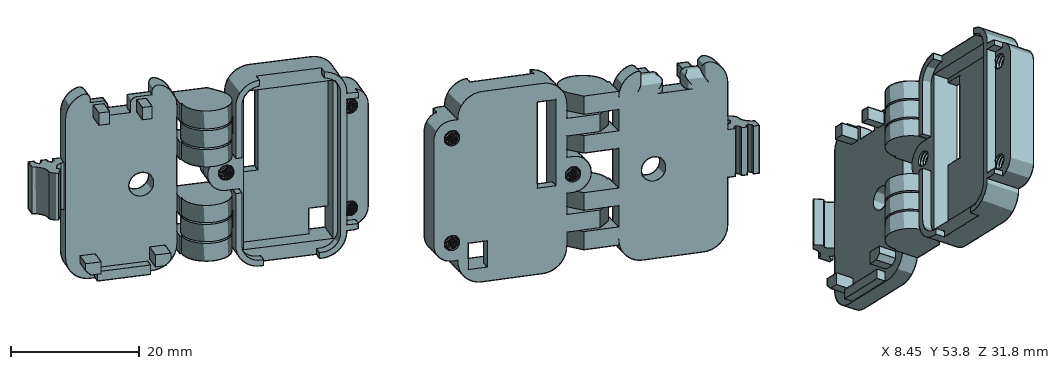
import cadquery as cq
import math

hinge_radius = 4.0
hinge_x = 4.45
hinge_gap = 0.3
hinge_half_span = 12.85
pin_base_radius = 1.85
pin_tip_radius = 0.5
pin_length = 1.6
base_knuckle = (6.55, 9.5)
cover_knuckles = (
    (3.3, base_knuckle[0] - hinge_gap),
    (base_knuckle[1] + hinge_gap, hinge_half_span),
)
base_relief_angle = 45.0
cover_relief_angle = 40.0

plate_height = 31.8
plate_width = 18.0
plate_corner = 4.0
plate_near = hinge_radius + hinge_gap
plate_far = plate_near + plate_width
plate_mid = (plate_near + plate_far) / 2
half_height = plate_height / 2

base_thickness = hinge_x
ear_radius = 3.0
screw_diameter = 2.5
thread_diameter = 3.0
thread_pitch = 0.5
thread_start = 0.6
far_ear_y = 23.25
far_ear_z = 8.75
near_ear_y = 3.25
ear_skin = 0.4
ear_bevel = 1.5
pocket_wall = 1.75
pocket_floor = 1.75
pocket_near = plate_near + pocket_wall
pocket_far = plate_far - pocket_wall
pocket_half_height = 13.53
long_slot = (pocket_near, 9.15, -1.5, 12.88)
short_slot = (17.42, pocket_far, -pocket_half_height, -9.16)
rim_height = 1.6
rim_wall = 1.0
rim_gap_top = (8.13, 18.65)
rim_gap_bottom = (8.8, 17.85)
rim_ear_end = 24.18

cover_thickness = 2.85
cover_hole_diameter = 4.0
cover_hole_y = -10.05
cover_hole_z = -0.9
post_end_x = 5.95
bar_end_x = 4.35
top_posts = ((-17.85, -16.1), (-10.8, -9.24))
top_post_z = (11.6, 13.7)
bottom_posts = ((-20.0, -17.5), (-8.7, -6.2))
bottom_post_z = (-13.85, -11.8)
bottom_post_chamfer = 0.85
bar = (-17.6, -9.0, -15.8, -14.18)

notch_mid_y = -plate_mid
notch_half_width = plate_width / 2 - plate_corner
notch_edge_round = 1.0
ledge_z = 14.17
ledge_round = 2.05
throat = (-15.45, -11.8)
throat_z = 11.6

latch_half_width = 4.0
latch_neck = (1.88, -22.75)
latch_neck_bend = (2.5, -23.55)
latch_hook_root = (3.5, -24.0)
latch_hook_corner = (4.05, -23.5)
latch_hook_tip = (5.4, -24.2)
latch_nose_bend = (5.1, -24.95)
latch_nose = (4.5, -25.5)
latch_back = (3.9, -25.55)
latch_back_bend = (2.7, -26.2)
latch_end = (2.1, -27.52)
latch_groove_count = 2
latch_groove_start = -23.55
latch_groove_pitch = 2.0
latch_groove_width = 1.0
latch_groove_flat = 0.6
latch_groove_depth = 1.1


def block(x0, x1, y0, y1, z0, z1):
    return cq.Workplane("XY").box(x1 - x0, y1 - y0, z1 - z0, centered=False).translate((x0, y0, z0))


def rod_x(y, z, diameter, x0, x1):
    return cq.Workplane("YZ", origin=(x0, y, z)).circle(diameter / 2).extrude(x1 - x0)


def rounded_plate(y0, y1, height, corner, x0, x1):
    return (
        block(x0, x1, y0, y1, -height / 2, height / 2)
        .edges("|X")
        .fillet(corner)
    )


def knuckle(z0, z1, side, relief_angle):
    """Hinge barrel with an arm to the plate on the given side (+1 is +Y)."""
    angle = math.radians(relief_angle)
    foot_y = hinge_radius / math.cos(angle) - hinge_x * math.tan(angle)
    tangent_x = hinge_x - hinge_radius * math.sin(angle)
    tangent_y = hinge_radius * math.cos(angle)
    arm = (
        cq.Workplane("XY", origin=(0, 0, z0))
        .polyline([
            (0, side * plate_near),
            (0, -side * foot_y),
            (tangent_x, -side * tangent_y),
            (hinge_x, 0),
            (hinge_x, side * plate_near),
        ])
        .close()
        .extrude(z1 - z0)
    )
    barrel = cq.Workplane("XY", origin=(hinge_x, 0, z0)).circle(hinge_radius).extrude(z1 - z0)
    return arm.union(barrel)


def hinge_cone(z, direction, clearance):
    """Conical pivot starting at height z; the clearance widens and lengthens it."""
    cone = cq.Solid.makeCone(
        pin_base_radius + clearance,
        pin_tip_radius + clearance,
        pin_length + clearance,
        pnt=cq.Vector(hinge_x, 0, z),
        dir=cq.Vector(0, 0, direction),
    )
    return cq.Workplane(obj=cone)


def hinge_cones(clearance):
    """Pivots on both end faces of each base knuckle."""
    cones = cq.Workplane()
    for side in (-1, 1):
        for face_z, direction in ((base_knuckle[0], -1), (base_knuckle[1], 1)):
            cones = cones.add(hinge_cone(side * face_z, side * direction, clearance))
    return cones


def mirrored_span(span, side):
    return sorted(side * z for z in span)


def screw_hole(y, z):
    """Through hole whose bore carries ring-shaped thread grooves."""
    hole = rod_x(y, z, screw_diameter, 0, base_thickness)
    minor = screw_diameter / 2
    major = thread_diameter / 2
    turns = int((base_thickness - thread_start) / thread_pitch)
    for turn in range(turns):
        x0 = thread_start + turn * thread_pitch
        ring = (
            cq.Workplane("XY")
            .polyline([
                (x0, 0),
                (x0, minor),
                (x0 + thread_pitch / 2, major),
                (x0 + thread_pitch, minor),
                (x0 + thread_pitch, 0),
            ])
            .close()
            .revolve(360, (0, 0), (1, 0))
            .translate((0, y, z))
        )
        hole = hole.union(ring)
    return hole


def rim():
    """Wall along the plate edge that frames the circuit board."""
    x0 = base_thickness
    x1 = base_thickness + rim_height
    wall = rounded_plate(plate_near, plate_far, plate_height, plate_corner, x0, x1)
    inside = rounded_plate(
        plate_near + rim_wall, plate_far - rim_wall,
        plate_height - 2 * rim_wall, plate_corner - rim_wall, x0, x1,
    )
    wall = wall.cut(inside)
    wall = wall.cut(block(x0, x1, *rim_gap_top, 0, half_height))
    wall = wall.cut(block(x0, x1, *rim_gap_bottom, -half_height, 0))
    wall = wall.cut(block(x0, x1, plate_near, plate_mid, -ear_radius, ear_radius))
    ear_inside_z = far_ear_z + ear_radius - rim_wall
    ears = far_ears(x0, x1)
    ears = ears.cut(block(x0, x1, plate_far, rim_ear_end, -ear_inside_z, ear_inside_z))
    ears = ears.intersect(block(x0, x1, plate_far - rim_wall, rim_ear_end, -half_height, half_height))
    return wall.union(ears)


def far_ears(x0, x1):
    """Flange beyond the far edge, rounded around its two screw holes."""
    y1 = far_ear_y + ear_radius
    flange_height = 2 * (far_ear_z + ear_radius)
    flange = rounded_plate(plate_far - plate_corner, y1, flange_height, ear_radius, x0, x1)
    return flange.intersect(block(x0, x1, plate_far - rim_wall, y1, -half_height, half_height))


def near_ear_bevel():
    """Bevel across the tip of the near ear, behind its front skin."""
    tip_y = near_ear_y - ear_radius
    return (
        cq.Workplane("XY", origin=(0, 0, -ear_radius))
        .polyline([
            (ear_skin, tip_y),
            (ear_skin, tip_y + ear_bevel),
            (ear_skin + ear_bevel, tip_y),
        ])
        .close()
        .extrude(2 * ear_radius)
    )


def make_base():
    body = rounded_plate(plate_near, plate_far, plate_height, plate_corner, 0, base_thickness)
    body = body.union(far_ears(0, base_thickness))
    body = body.union(rod_x(near_ear_y, 0, 2 * ear_radius, 0, base_thickness))
    body = body.union(block(0, base_thickness, near_ear_y, plate_near, -ear_radius, ear_radius))
    body = body.cut(near_ear_bevel())
    for side in (-1, 1):
        body = body.union(knuckle(*mirrored_span(base_knuckle, side), 1, base_relief_angle))
    for cone in hinge_cones(0).vals():
        body = body.union(cq.Workplane(obj=cone))
    pocket = block(
        pocket_floor, base_thickness, pocket_near, pocket_far, -pocket_half_height, pocket_half_height,
    )
    body = body.cut(pocket)
    body = body.union(rim())
    for slot in (long_slot, short_slot):
        body = body.cut(block(0, pocket_floor, *slot))
    for y, z in ((far_ear_y, far_ear_z), (far_ear_y, -far_ear_z), (near_ear_y, 0)):
        body = body.cut(screw_hole(y, z))
    return body


def round_toward(step, open_side, front_round=0):
    """Round the notch step edges facing the open side (+1 is +Y), and its front top edge on request."""
    open_face = ">Y" if open_side > 0 else "<Y"
    top = step.edges("|X").edges(open_face).edges(">Z").fillet(notch_edge_round)
    upright = step.edges("|Z").edges("<X").edges(open_face).fillet(notch_edge_round)
    rounded = top.intersect(upright)
    if front_round:
        rounded = rounded.intersect(step.edges("<X and >Z").fillet(front_round))
    return rounded


def cut_notch(plate):
    """Open the top edge for the cable, with a rounded wall and ledge on both sides of the throat."""
    y0 = notch_mid_y - notch_half_width
    y1 = notch_mid_y + notch_half_width
    walls = (
        (plate.intersect(block(0, cover_thickness, -plate_far, y0, throat_z, half_height)), 1),
        (plate.intersect(block(0, cover_thickness, y1, -plate_near, throat_z, half_height)), -1),
    )
    ledges = (
        (block(0, cover_thickness, y0 - notch_edge_round, throat[0], throat_z, ledge_z), 1),
        (block(0, cover_thickness, throat[1], y1 + notch_edge_round, throat_z, ledge_z), -1),
    )
    opening = block(0, cover_thickness, -plate_far, -plate_near, throat_z, half_height)
    notched = plate.cut(opening)
    for wall, open_side in walls:
        notched = notched.union(round_toward(wall, open_side))
    for ledge, open_side in ledges:
        notched = notched.union(round_toward(ledge, open_side, ledge_round))
    return notched


def locating_posts():
    """Board locating posts on the inner face: two at the notch, two chamfered ones and a bar at the bottom."""
    x0 = cover_thickness
    posts = block(x0, bar_end_x, *bar)
    for span in top_posts:
        posts = posts.union(block(x0, post_end_x, *span, *top_post_z))
    for (y0, y1), outer_face in zip(bottom_posts, ("<Y", ">Y")):
        post = block(x0, post_end_x, y0, y1, *bottom_post_z)
        posts = posts.union(post.edges(f"|X and <Z and {outer_face}").chamfer(bottom_post_chamfer))
    return posts


def latch():
    """Flexible tab with a hook on the inner side and two grip grooves on the outer face."""
    tab = (
        cq.Workplane("XY", origin=(0, 0, -latch_half_width))
        .moveTo(0, -plate_far)
        .lineTo(latch_neck[0], -plate_far)
        .lineTo(*latch_neck)
        .threePointArc(latch_neck_bend, latch_hook_root)
        .lineTo(*latch_hook_corner)
        .lineTo(*latch_hook_tip)
        .threePointArc(latch_nose_bend, latch_nose)
        .lineTo(*latch_back)
        .threePointArc(latch_back_bend, latch_end)
        .lineTo(0, latch_end[1])
        .close()
        .extrude(2 * latch_half_width)
    )
    for index in range(latch_groove_count):
        y0 = latch_groove_start - index * latch_groove_pitch
        y1 = y0 - latch_groove_width
        groove = (
            cq.Workplane("XY", origin=(0, 0, -latch_half_width))
            .polyline([
                (0, y0),
                (latch_groove_flat, y0),
                (latch_groove_depth, (y0 + y1) / 2),
                (latch_groove_flat, y1),
                (0, y1),
            ])
            .close()
            .extrude(2 * latch_half_width)
        )
        tab = tab.cut(groove)
    return tab


def make_cover():
    body = rounded_plate(-plate_far, -plate_near, plate_height, plate_corner, 0, cover_thickness)
    body = cut_notch(body)
    body = body.union(locating_posts())
    for side in (-1, 1):
        for span in cover_knuckles:
            body = body.union(knuckle(*mirrored_span(span, side), -1, cover_relief_angle))
    for socket in hinge_cones(hinge_gap).vals():
        body = body.cut(cq.Workplane(obj=socket))
    body = body.union(latch())
    body = body.cut(rod_x(cover_hole_y, cover_hole_z, cover_hole_diameter, 0, cover_thickness))
    return body


base = make_base()
cover = make_cover()
result = cq.Compound.makeCompound([base.solids().val(), cover.solids().val()])